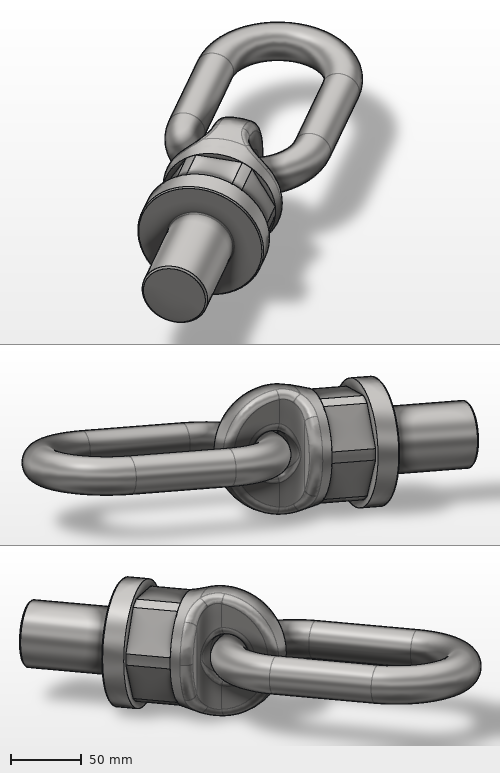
import cadquery as cq
import math


STUD_DIAMETER = 48.0
STUD_LENGTH = 68.0
STUD_END_CHAMFER = 1.3
STUD_ROOT_FILLET = 0.9
FLANGE_DIAMETER = 92.0
FLANGE_THICKNESS = 16.5
FLANGE_CHAMFER = 1.0
HEX_ACROSS_FLATS = 75.0
HEX_CORNER_DIAMETER = 82.5
HEX_HEIGHT = 32.8

SPHERE_RADIUS = 46.0
BASE_CONE_ANGLE = 13.7
EYE_THICKNESS = 27.8
EYE_ROOT_RADIUS = 14.0
EYE_HOLE_DIAMETER = 31.0
EYE_HOLE_CLEARANCE = 1.3
HEAD_EDGE_FILLET = 6.3
HOLE_EDGE_FILLET = 6.0
HEAD_TOP_Y = 188.0
SHOULDER_Y = 132.7

BAR_DIAMETER = 27.0
LINK_WIDTH = 119.0
LINK_TOP_Y = 331.0
LINK_STRAIGHT_LENGTH = 75.0

EDGE_MARGIN = 0.3

FLANGE_TOP_Y = STUD_LENGTH + FLANGE_THICKNESS
HEX_TOP_Y = FLANGE_TOP_Y + HEX_HEIGHT
SPHERE_CENTER_Y = HEAD_TOP_Y - SPHERE_RADIUS
EYE_HOLE_CENTER_Y = SHOULDER_Y + EYE_HOLE_DIAMETER / 2 + EYE_HOLE_CLEARANCE


def plane_across_axis(y):
    """Plane at height y whose normal is +Y, with its local x axis along X."""
    return cq.Workplane(cq.Plane(origin=(0, y, 0), xDir=(1, 0, 0), normal=(0, 1, 0)))


def box_along_y(low_y, high_y, half_x, half_z):
    """Selector for edges whose centre lies in a box around the Y axis."""
    return cq.selectors.BoxSelector((-half_x, low_y, -half_z), (half_x, high_y, half_z))


def make_bolt():
    stud = plane_across_axis(0).circle(STUD_DIAMETER / 2).extrude(STUD_LENGTH)
    stud = stud.faces("<Y").chamfer(STUD_END_CHAMFER)

    flange = plane_across_axis(STUD_LENGTH).circle(FLANGE_DIAMETER / 2).extrude(FLANGE_THICKNESS)
    flange = flange.faces("<Y").chamfer(FLANGE_CHAMFER)

    across_corners = HEX_ACROSS_FLATS / math.cos(math.pi / 6)
    hexagon = plane_across_axis(FLANGE_TOP_Y).polygon(6, across_corners).extrude(HEX_HEIGHT)
    corner_limit = plane_across_axis(FLANGE_TOP_Y).circle(HEX_CORNER_DIAMETER / 2).extrude(HEX_HEIGHT)

    bolt = stud.union(flange).union(hexagon.intersect(corner_limit))
    root_zone = box_along_y(
        STUD_LENGTH - EDGE_MARGIN, STUD_LENGTH + EDGE_MARGIN, FLANGE_DIAMETER, FLANGE_DIAMETER
    )
    root = bolt.edges(root_zone).edges(cq.selectors.RadiusNthSelector(0))
    return root.fillet(STUD_ROOT_FILLET)


def make_head_blank():
    """Sphere that runs tangentially into a cone down to the hexagon."""
    angle = math.radians(BASE_CONE_ANGLE)
    tangent_radius = SPHERE_RADIUS * math.cos(angle)
    tangent_y = SPHERE_CENTER_Y - SPHERE_RADIUS * math.sin(angle)
    base_radius = tangent_radius - (tangent_y - HEX_TOP_Y) * math.tan(angle)
    diagonal = SPHERE_RADIUS * math.sqrt(0.5)
    return (
        cq.Workplane("XY")
        .moveTo(0, HEX_TOP_Y)
        .lineTo(base_radius, HEX_TOP_Y)
        .lineTo(tangent_radius, tangent_y)
        .threePointArc((diagonal, SPHERE_CENTER_Y + diagonal), (0, HEAD_TOP_Y))
        .close()
        .revolve(360, (0, 0, 0), (0, 1, 0))
    )


def make_side_cutter(side):
    """Space beside the eye, above the shoulder, with a round root; side is +1 or -1."""
    sag = EYE_ROOT_RADIUS * (1 - math.sqrt(0.5))
    face_x = EYE_THICKNESS / 2
    root_x = face_x + EYE_ROOT_RADIUS
    root_y = SHOULDER_Y + EYE_ROOT_RADIUS
    outer_x = 2 * SPHERE_RADIUS
    outer_y = HEAD_TOP_Y + SPHERE_RADIUS
    return (
        cq.Workplane("XY")
        .moveTo(side * face_x, outer_y)
        .lineTo(side * face_x, root_y)
        .threePointArc((side * (face_x + sag), SHOULDER_Y + sag), (side * root_x, SHOULDER_Y))
        .lineTo(side * outer_x, SHOULDER_Y)
        .lineTo(side * outer_x, outer_y)
        .close()
        .extrude(outer_x, both=True)
    )


def make_head():
    head = make_head_blank()
    for side in (-1, 1):
        head = head.cut(make_side_cutter(side))

    rim_zone = box_along_y(SHOULDER_Y - EDGE_MARGIN, HEAD_TOP_Y, SPHERE_RADIUS, SPHERE_RADIUS)
    head = head.edges(rim_zone).edges("not %LINE").fillet(HEAD_EDGE_FILLET)

    hole_radius = EYE_HOLE_DIAMETER / 2
    hole = (
        cq.Workplane("YZ")
        .center(EYE_HOLE_CENTER_Y, 0)
        .circle(hole_radius)
        .extrude(SPHERE_RADIUS, both=True)
    )
    head = head.cut(hole)
    mouth_zone = box_along_y(
        EYE_HOLE_CENTER_Y - hole_radius,
        EYE_HOLE_CENTER_Y + hole_radius,
        EYE_THICKNESS / 2 + EYE_ROOT_RADIUS,
        hole_radius,
    )
    return head.edges(mouth_zone).edges("not %LINE").fillet(HOLE_EDGE_FILLET)


def make_link():
    bend_radius = (LINK_WIDTH - BAR_DIAMETER) / 2
    upper_y = LINK_TOP_Y - LINK_WIDTH / 2
    lower_y = upper_y - LINK_STRAIGHT_LENGTH
    path = (
        cq.Workplane("XY")
        .moveTo(bend_radius, lower_y)
        .lineTo(bend_radius, upper_y)
        .threePointArc((0, upper_y + bend_radius), (-bend_radius, upper_y))
        .lineTo(-bend_radius, lower_y)
        .threePointArc((0, lower_y - bend_radius), (bend_radius, lower_y))
        .close()
    )
    start = cq.Workplane("XZ", origin=(bend_radius, lower_y, 0))
    return start.circle(BAR_DIAMETER / 2).sweep(path)


bolt = make_bolt()
head = make_head()
link = make_link()

result = cq.Compound.makeCompound([bolt.solids().val(), head.solids().val(), link.val()])